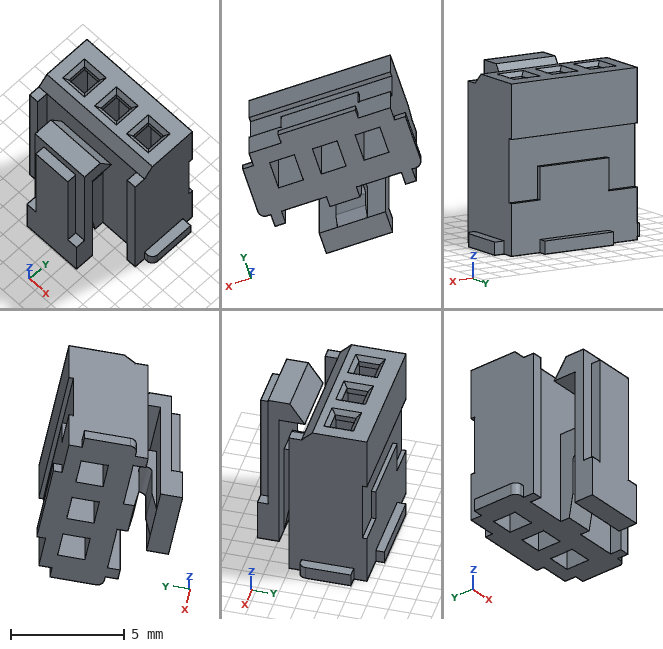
import cadquery as cq


height = 7.8
body_width = 6.6
body_depth = 3.0
top_chamfer = 0.5
overall_width = 7.6
overall_depth = 5.9

rail_width = 0.5
rail_front = 3.58
rail_height = height - top_chamfer

foot_height = 0.6
foot_start = 0.6
foot_radius = 0.32
back_foot_width = 3.6
back_foot_depth = 0.4

relief_depth = 0.2
relief_bottom = 2.39
relief_top = 5.29
block_top = 3.885
block_width = back_foot_width

contact_count = 3
contact_pitch = 2.0
contact_setback = 1.46
funnel_size = 1.36
throat_size = 0.95
funnel_depth = 0.2
throat_depth = 0.265
cavity_side_step = 0.1
cavity_back_step = 0.28

latch_front = overall_depth - back_foot_depth
latch_width = 3.1
arm_back = 4.5
pad_thickness = 0.5
pad_width = 2.0
pad_bottom = 2.0
pad_top = height - pad_thickness
head_back = 3.32
head_slope_front = 4.01
head_thickness = 1.01

web_width = 1.4
web_top = 4.55
slot_width = 0.585
slot_centre = 3.99
slot_top = 3.21
slot_taper_height = 1.2
slot_mouth_width = 2 * (arm_back - slot_centre)


def block(width, y_back, y_front, z_bottom, z_top):
    """Box centred on X; y_back and y_front are distances forward of the back face."""
    return (
        cq.Workplane("XY", origin=(0, -(y_back + y_front) / 2, z_bottom))
        .box(width, y_front - y_back, z_top - z_bottom, centered=(True, True, False))
    )


def side_profile(points, width):
    """Extrude an outline of (distance forward, height) points symmetrically along X."""
    outline = [(-forward, z) for forward, z in points]
    return cq.Workplane("YZ").polyline(outline).close().extrude(width / 2, both=True)


def make_body():
    body = side_profile(
        [
            (0, 0),
            (body_depth, 0),
            (body_depth, height - top_chamfer),
            (body_depth - top_chamfer, height),
            (0, height),
        ],
        body_width,
    )
    relief = block(body_width, 0, relief_depth, relief_bottom, relief_top)
    relief_block = block(block_width, 0, relief_depth, relief_bottom, block_top)
    return body.cut(relief).union(relief_block)


def make_rails():
    rails = block(body_width, body_depth, rail_front, 0, rail_height)
    gap = block(body_width - 2 * rail_width, body_depth, rail_front, 0, rail_height)
    return rails.cut(gap)


def make_feet():
    end_feet = block(overall_width, foot_start, body_depth, 0, foot_height)
    end_feet = end_feet.edges("|Z and <Y").fillet(foot_radius)
    back_foot = block(back_foot_width, -back_foot_depth, 0, 0, foot_height)
    return end_feet.union(back_foot)


def make_contact_hole(x):
    funnel = (
        cq.Workplane("XY", origin=(x, -contact_setback, height))
        .rect(funnel_size, funnel_size)
        .workplane(offset=-funnel_depth)
        .rect(throat_size, throat_size)
        .loft(ruled=True)
    )
    throat = (
        cq.Workplane("XY", origin=(x, -contact_setback, 0))
        .rect(throat_size, throat_size)
        .extrude(height - funnel_depth)
    )
    cavity_centre = -contact_setback + cavity_back_step / 2
    cavity = (
        cq.Workplane("XY", origin=(x, cavity_centre, 0))
        .rect(throat_size + 2 * cavity_side_step, throat_size + cavity_back_step)
        .extrude(height - funnel_depth - throat_depth)
    )
    return funnel.union(throat).union(cavity)


def make_latch():
    arm_front = latch_front - pad_thickness
    latch = side_profile(
        [
            (arm_back, 0),
            (latch_front, 0),
            (latch_front, pad_bottom),
            (arm_front, pad_bottom),
            (arm_front, height),
            (head_slope_front, height),
            (head_back, height - head_thickness),
            (arm_back, height - head_thickness),
        ],
        latch_width,
    )
    pad = block(pad_width, arm_front, latch_front, pad_bottom, pad_top)
    return latch.union(pad)


def make_web():
    web = block(web_width, body_depth, arm_back, 0, web_top)
    half_slot = slot_width / 2
    half_mouth = slot_mouth_width / 2
    arc_start = slot_top - half_slot
    slot = (
        cq.Workplane("YZ", origin=(0, -slot_centre, 0))
        .moveTo(-half_mouth, 0)
        .lineTo(-half_slot, slot_taper_height)
        .lineTo(-half_slot, arc_start)
        .threePointArc((0, slot_top), (half_slot, arc_start))
        .lineTo(half_slot, slot_taper_height)
        .lineTo(half_mouth, 0)
        .close()
        .extrude(web_width / 2, both=True)
    )
    return web.cut(slot)


result = make_body().union(make_rails()).union(make_feet())
for index in range(contact_count):
    contact_x = (index - (contact_count - 1) / 2) * contact_pitch
    result = result.cut(make_contact_hole(contact_x))
result = result.union(make_web()).union(make_latch())